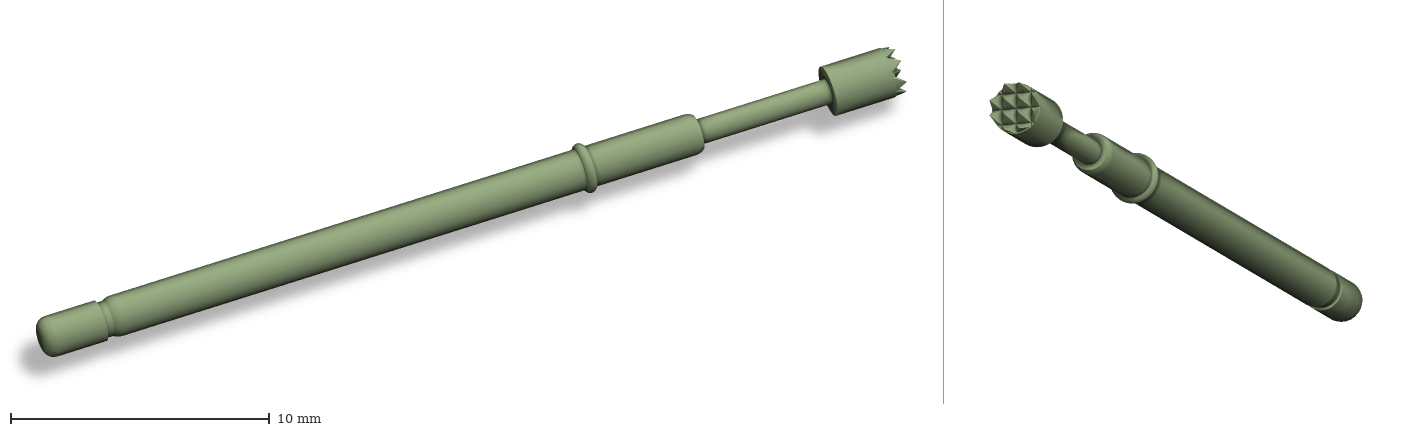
import cadquery as cq
import math

length = 35.7
tip_y = length / 2
tail_y = -length / 2

head_diameter = 2.0
head_length = 2.93
shaft_diameter = 1.0
crown_diameter = 1.93
crown_height = 0.45
tooth_pitch = 0.6
teeth_per_row = 4
tooth_angle = 60.0

barrel_diameter = 1.65
barrel_length = 27.35
tail_round = 0.43
mouth_diameter = 1.43
mouth_taper_length = 0.32

ring_diameter = head_diameter
ring_width = 0.43
ring_offset = 13.05

groove_diameter = 1.43
groove_floor = 0.32
groove_taper_length = 0.32
tail_section_length = 2.5

head_radius = head_diameter / 2
crown_radius = crown_diameter / 2
shaft_radius = shaft_diameter / 2
barrel_radius = barrel_diameter / 2
mouth_radius = mouth_diameter / 2
groove_radius = groove_diameter / 2
mouth_y = tail_y + barrel_length
head_back_y = tip_y - head_length


def taper_midpoint(start_y, end_y, end_radius):
    """Middle point of an arc that leaves the barrel tangentially at start_y and ends at end_radius."""
    run = end_y - start_y
    drop = barrel_radius - end_radius
    arc_radius = (run**2 + drop**2) / (2 * drop)
    half_angle = math.atan2(drop, abs(run))
    mid_radius = barrel_radius - arc_radius * (1 - math.cos(half_angle))
    mid_y = start_y + math.copysign(arc_radius * math.sin(half_angle), run)
    return mid_radius, mid_y


def revolve_about_axis(profile):
    """Turn a closed XY half-profile about the probe axis."""
    return profile.revolve(360, (0, 0, 0), (0, 1, 0))


def make_rod(radius, start_y, end_y):
    """Solid cylinder on the probe axis."""
    return cq.Workplane("XZ", origin=(0, end_y, 0)).circle(radius).extrude(end_y - start_y)


def make_barrel():
    tail_top_y = tail_y + tail_round
    tail_flat_radius = barrel_radius - tail_round
    groove_wall_y = tail_y + tail_section_length
    groove_end_y = groove_wall_y + groove_floor
    groove_top_y = groove_end_y + groove_taper_length
    mouth_start_y = mouth_y - mouth_taper_length

    profile = (
        cq.Workplane("XY")
        .moveTo(0, tail_y)
        .lineTo(tail_flat_radius, tail_y)
        .threePointArc(taper_midpoint(tail_top_y, tail_y, tail_flat_radius), (barrel_radius, tail_top_y))
        .lineTo(barrel_radius, groove_wall_y)
        .lineTo(groove_radius, groove_wall_y)
        .lineTo(groove_radius, groove_end_y)
        .threePointArc(taper_midpoint(groove_top_y, groove_end_y, groove_radius), (barrel_radius, groove_top_y))
        .lineTo(barrel_radius, mouth_start_y)
        .threePointArc(taper_midpoint(mouth_start_y, mouth_y, mouth_radius), (mouth_radius, mouth_y))
        .lineTo(0, mouth_y)
        .close()
    )
    return revolve_about_axis(profile)


def make_press_ring():
    ring_y = tip_y - ring_offset
    ring_start_y = ring_y - ring_width / 2
    ring_end_y = ring_y + ring_width / 2
    profile = (
        cq.Workplane("XY")
        .moveTo(0, ring_start_y)
        .lineTo(barrel_radius, ring_start_y)
        .threePointArc((ring_diameter / 2, ring_y), (barrel_radius, ring_end_y))
        .lineTo(0, ring_end_y)
        .close()
    )
    return revolve_about_axis(profile)


def make_head():
    """Head with a turned-down crown, cut by crossed V grooves into a square grid of pyramid tips."""
    rim_y = tip_y - crown_height
    half_pitch = tooth_pitch / 2
    valley_y = tip_y - half_pitch / math.tan(math.radians(tooth_angle / 2))
    head = make_rod(head_radius, head_back_y, rim_y).union(make_rod(crown_radius, head_back_y, tip_y))
    for index in range(teeth_per_row + 1):
        valley_x = (index - teeth_per_row / 2) * tooth_pitch
        groove = (
            cq.Workplane("XY")
            .moveTo(valley_x - half_pitch, tip_y)
            .lineTo(valley_x, valley_y)
            .lineTo(valley_x + half_pitch, tip_y)
            .close()
            .extrude(head_radius, both=True)
        )
        crossing_groove = groove.rotate((0, 0, 0), (0, 1, 0), 90)
        head = head.cut(groove).cut(crossing_groove)
    return head


shaft = make_rod(shaft_radius, mouth_y, head_back_y)
result = make_barrel().union(make_press_ring()).union(shaft).union(make_head())